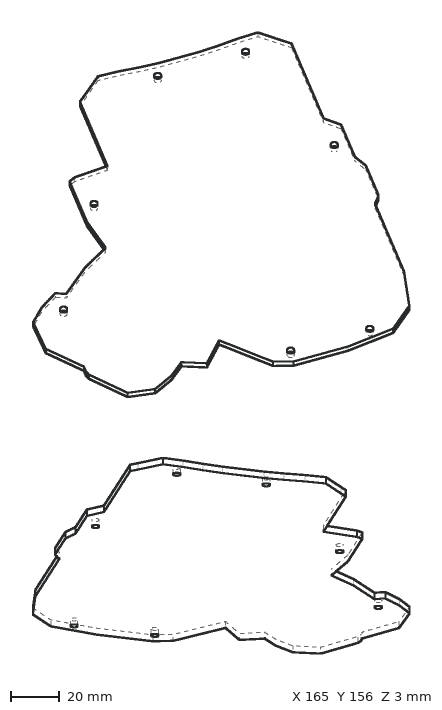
import cadquery as cq

width = 165.0
depth = 156.0
thickness = 3.0
hole_diameter = 3.0

left_block_top = 147.4
left_block_bottom = 55.1
shoulder_top = 153.2
lower_tab_bottom = 37.8
left_middle_y = (left_block_top + left_block_bottom) / 2

left_edge_knees = [
    (1.7, 8.9),
    (1.2, 17.3),
    (0.3, 26.0),
    (0.0, 34.8),
    (7.6, 43.4),
]
left_corner_x = 9.9

left_hole_x = 7.8
right_hole_x = 159.3
hole_centers = [
    (left_hole_x, 128.1),
    (left_hole_x, 89.8),
    (right_hole_x, 130.2),
    (right_hole_x, 95.7),
    (65.0, 147.0),
    (61.5, 43.5),
    (109.0, 14.0),
]


def left_edge():
    """Symmetric, slightly hollow left edge, from bottom to top."""
    lower = [(x, left_middle_y - rise) for x, rise in reversed(left_edge_knees)]
    upper = [(x, left_middle_y + rise) for x, rise in left_edge_knees]
    return lower + upper


top_edge = [
    (left_corner_x, left_block_top),
    (50.7, left_block_top),
    (56.1, shoulder_top),
    (73.6, shoulder_top),
    (79.4, depth),
    (95.5, depth),
    (99.0, shoulder_top),
    (136.0, shoulder_top),
]

right_edge = [
    (153.4, 149.5),
    (162.5, 139.3),
    (width, 118.9),
    (width, 94.9),
    (162.5, 87.0),
    (144.8, 69.5),
]

thumb_section = [
    (154.3, 60.9),
    (150.4, 51.2),
    (155.7, 45.0),
    (160.0, 36.5),
    (158.1, 25.1),
    (144.1, 13.0),
    (142.1, 12.4),
    (139.5, 12.4),
    (125.8, 0.5),
    (111.1, 0.0),
    (105.0, 6.0),
    (99.9, 13.5),
    (101.7, 17.7),
    (91.3, 29.5),
    (84.5, 40.8),
]

bottom_edge = [
    (69.7, lower_tab_bottom),
    (47.4, lower_tab_bottom),
    (46.0, 40.5),
    (44.9, left_block_bottom),
    (left_corner_x, left_block_bottom),
]

outline = top_edge + right_edge + thumb_section + bottom_edge + left_edge()
plate = cq.Workplane("XY").polyline(outline).close().extrude(thickness)
holes = (
    cq.Workplane("XY")
    .pushPoints(hole_centers)
    .circle(hole_diameter / 2)
    .extrude(thickness)
)

result = plate.cut(holes)